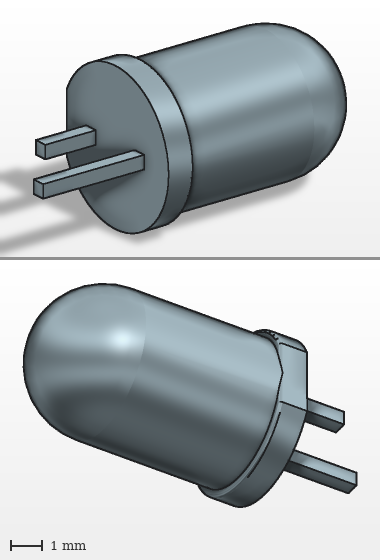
import cadquery as cq


lens_diameter = 5.1
lens_radius = lens_diameter / 2
flange_diameter = 5.6
flange_thickness = 1.0
flange_edge_radius = 0.1

lead_width = 0.5
lead_pitch = 2.54
short_lead_length = 2.0
long_lead_length = 4.0

overall_length = 12.5
housing_length = overall_length - long_lead_length
dome_start = housing_length - lens_radius


def make_flange():
    """Round flange with a flat on -X in line with the lens, rounded on its lens-side edge."""
    flat_cutter = (
        cq.Workplane("XY")
        .box(flange_diameter, 2 * flange_thickness, flange_diameter)
        .translate((-lens_radius - flange_diameter / 2, 0, 0))
    )
    return (
        cq.Workplane("XZ")
        .circle(flange_diameter / 2)
        .extrude(-flange_thickness)
        .cut(flat_cutter)
        .faces(">Y")
        .edges()
        .fillet(flange_edge_radius)
    )


def make_lens():
    """Cylinder closed by a hemispherical dome, revolved about the Y axis."""
    return (
        cq.Workplane("XY")
        .lineTo(lens_radius, 0)
        .lineTo(lens_radius, dome_start)
        .radiusArc((0, housing_length), -lens_radius)
        .close()
        .revolve(360, (0, 0, 0), (0, 1, 0))
    )


def make_housing():
    """Flange and lens moulded as one body."""
    return make_flange().union(make_lens()).solids()


def make_lead(x_position, length):
    """Square lead that starts on the flange face and runs toward -Y."""
    return (
        cq.Workplane("XZ")
        .center(x_position, 0)
        .rect(lead_width, lead_width)
        .extrude(length)
    )


housing = make_housing()

lead_layout = [(-lead_pitch / 2, short_lead_length), (lead_pitch / 2, long_lead_length)]
leads = []
for lead_x, lead_length in lead_layout:
    leads.append(make_lead(lead_x, lead_length).val())

result = cq.Compound.makeCompound([housing.val(), *leads])